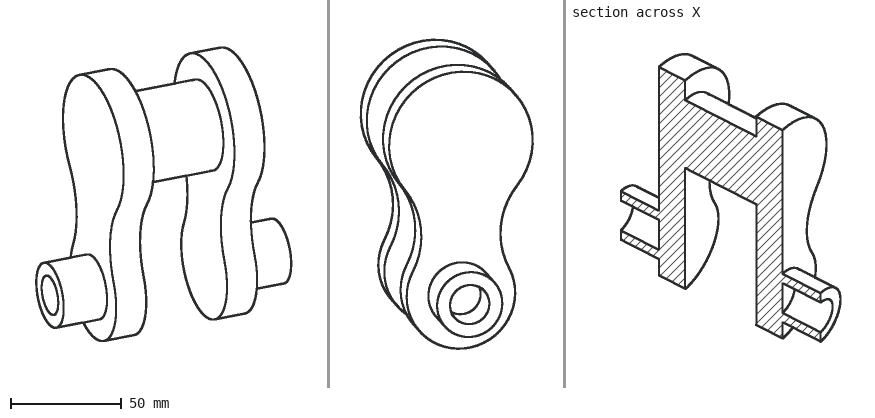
import cadquery as cq
import math

total_height = 128.0
large_radius = 33.0
small_radius = 25.0
waist_radius = 35.0
center_distance = total_height - large_radius - small_radius

total_width = 113.0
plate_thickness = 15.0
plate_outer_width = 70.0
plate_gap = plate_outer_width - 2 * plate_thickness
pin_length = (total_width - plate_outer_width) / 2

bushing_diameter = 42.0
pin_diameter = 30.0
pin_bore_diameter = 18.0
pin_bore_depth = pin_length

small_reach = small_radius + waist_radius
large_reach = large_radius + waist_radius
waist_z = (small_reach**2 - large_reach**2 + center_distance**2) / (2 * center_distance)
waist_x = math.sqrt(small_reach**2 - waist_z**2)

small_tangent_x = waist_x * small_radius / small_reach
small_tangent_z = waist_z * small_radius / small_reach
large_tangent_x = waist_x * large_radius / large_reach
large_tangent_z = center_distance + (waist_z - center_distance) * large_radius / large_reach

waist_half_width = waist_x - waist_radius


def cylinder(diameter, start_y, length, center_z):
    """Cylinder along +Y, starting at start_y."""
    return cq.Workplane(
        cq.Solid.makeCylinder(
            diameter / 2, length, cq.Vector(0, start_y, center_z), cq.Vector(0, 1, 0)
        )
    )


def link_plate(start_y):
    """Link plate occupying start_y to start_y + plate_thickness."""
    return (
        cq.Workplane("XZ", origin=(0, start_y, 0))
        .moveTo(small_tangent_x, small_tangent_z)
        .threePointArc((waist_half_width, waist_z), (large_tangent_x, large_tangent_z))
        .threePointArc((0, center_distance + large_radius), (-large_tangent_x, large_tangent_z))
        .threePointArc((-waist_half_width, waist_z), (-small_tangent_x, small_tangent_z))
        .threePointArc((0, -small_radius), (small_tangent_x, small_tangent_z))
        .close()
        .extrude(-plate_thickness)
    )


result = cylinder(bushing_diameter, -plate_gap / 2, plate_gap, center_distance)

for plate_start in (-plate_outer_width / 2, plate_gap / 2):
    result = result.union(link_plate(plate_start))

for pin_start in (-total_width / 2, plate_outer_width / 2):
    result = result.union(cylinder(pin_diameter, pin_start, pin_length, 0))

for bore_start in (-total_width / 2, total_width / 2 - pin_bore_depth):
    result = result.cut(cylinder(pin_bore_diameter, bore_start, pin_bore_depth, 0))